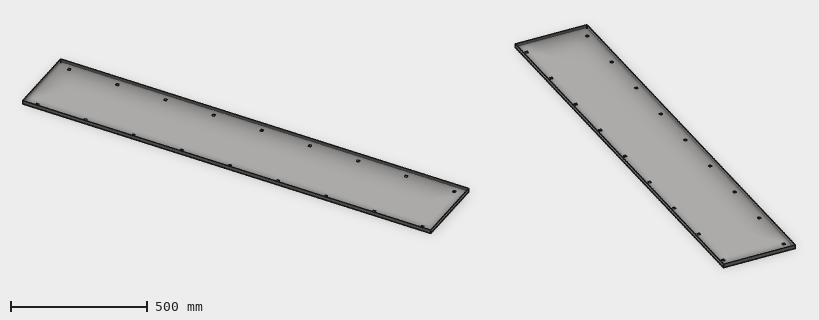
import cadquery as cq

length = 1697.0
width = 295.0
height = 16.5

sheet = 1.5
inner_bend_radius = 0.2
outer_bend_radius = inner_bend_radius + sheet

corner_notch = outer_bend_radius

holes_per_row = 9
row_length = 1600.0
row_spacing = 248.0
hole_side = 9.5


def rounded_block(block_length, block_width, base_z, bend_radius):
    """Block from base_z up to the wall tops, with its bottom edges rounded."""
    block = (
        cq.Workplane("XY", origin=(0, 0, base_z))
        .box(block_length, block_width, height - base_z, centered=(True, True, False))
    )
    return block.faces("<Z").edges().fillet(bend_radius)


def folded_tray():
    """Shallow tray, open at the top, with bent edges between the floor and the walls."""
    outside = rounded_block(length, width, 0, outer_bend_radius)
    inside = rounded_block(length - 2 * sheet, width - 2 * sheet, sheet, inner_bend_radius)
    return outside.cut(inside)


def corner_notches():
    """Cutters, centred on the four vertical corners, that leave a square notch in each."""
    return (
        cq.Workplane("XY")
        .rarray(length, width, 2, 2)
        .rect(2 * corner_notch, 2 * corner_notch)
        .extrude(height)
    )


def mounting_holes():
    """Cutters for the evenly spaced square holes through the floor."""
    hole_pitch = row_length / (holes_per_row - 1)
    return (
        cq.Workplane("XY")
        .rarray(hole_pitch, row_spacing, holes_per_row, 2)
        .rect(hole_side, hole_side)
        .extrude(height)
    )


result = folded_tray().cut(corner_notches()).cut(mounting_holes()).solids()